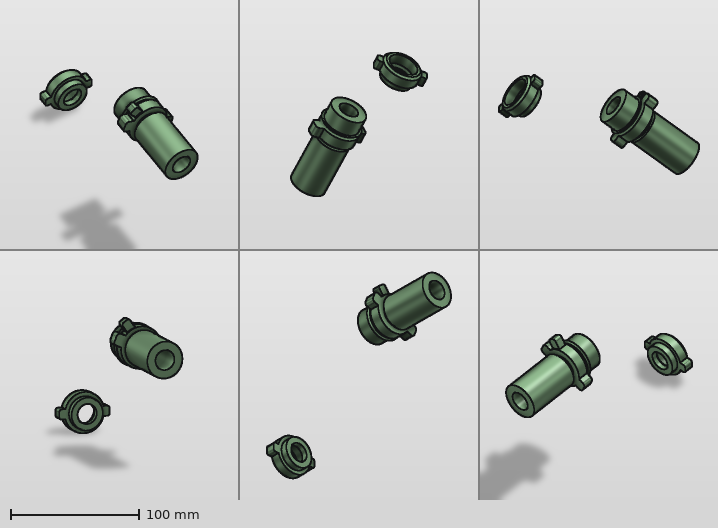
import cadquery as cq

axis_rise = 75.2
bore_diameter = 16.0
corner_radius = 2.0

cap_length = 15.7
flange_end = 10.0
flange_diameter = 33.0
flange_chamfer = 2.0
hub_diameter = 26.1
socket_diameter = 24.0
socket_depth = 8.6
socket_taper = 2.1
cap_tab_reach = 21.1
cap_tab_width = 8.0

connector_start = 102.5
connector_end = 179.0
spigot_diameter = 30.0
lip_start = 116.0
lip_width = 1.6
lip_diameter = 34.5
neck_diameter = 22.0
ring_start = 119.9
ring_width = 9.1
ring_diameter = 33.8
tube_start = 132.8
tube_diameter = 29.5
ring_tab_reach = 23.0
ring_tab_width = 10.0
ring_tab_corner_radius = 2.9
ring_tab_angle = 22
lug_width = 7.5
lug_thickness = 7.0
lug_reach = 25.2
lug_offset = 2.0
lug_angle = 55
lug_hole_diameter = 4.1
lug_hole_distance = 21.3
lug_hole_depth = lug_thickness / 2


def disc(diameter, start, end):
    """Cylinder about the X axis between two X positions."""
    return cq.Workplane("YZ", origin=(start, 0, 0)).circle(diameter / 2).extrude(end - start)


def cone(diameter, start, length):
    """45 degree frustum about the X axis, narrowing towards +X."""
    large = diameter / 2
    small = large - length
    return (
        cq.Workplane("XY", origin=(start, 0, 0))
        .polyline([(0, 0), (0, large), (length, small), (length, 0)])
        .close()
        .revolve(360, (0, 0, 0), (1, 0, 0))
    )


def tab(inner, reach, width, start, thickness, offset=0.0, rounding=corner_radius):
    """Radial plate towards -Y with rounded outer corners."""
    return (
        cq.Workplane("YZ", origin=(start, 0, 0))
        .center(-(inner + reach) / 2, offset)
        .rect(reach - inner, width)
        .extrude(thickness)
        .edges("|X and <Y")
        .fillet(rounding)
    )


def turn(shape, angle):
    """Raise a shape from -Y towards +Z about the X axis."""
    return shape.rotate((0, 0, 0), (1, 0, 0), -angle)


def make_cap():
    flange = disc(flange_diameter, 0, flange_end).faces("<X").chamfer(flange_chamfer)
    cap = flange.union(disc(hub_diameter, flange_end, cap_length))
    for angle in (0, 180):
        ear = tab(socket_diameter / 2, cap_tab_reach, cap_tab_width, flange_chamfer,
                  flange_end - flange_chamfer)
        cap = cap.union(turn(ear, angle))
    cap = cap.cut(disc(socket_diameter, 0, socket_depth))
    cap = cap.cut(cone(socket_diameter, socket_depth, socket_taper))
    return cap.cut(disc(bore_diameter, 0, cap_length))


def make_lug():
    start = ring_start + (ring_width - lug_thickness) / 2
    lug = tab(neck_diameter / 2, lug_reach, lug_width, start, lug_thickness, lug_offset)
    hole = disc(lug_hole_diameter, start, start + lug_hole_depth)
    return turn(lug.cut(hole.translate((0, -lug_hole_distance, lug_offset))), lug_angle)


def make_connector():
    body = disc(spigot_diameter, connector_start, lip_start + lip_width)
    body = body.union(cone(lip_diameter, lip_start, lip_width))
    body = body.union(disc(neck_diameter, lip_start, tube_start))
    body = body.union(disc(tube_diameter, tube_start, connector_end))
    body = body.union(disc(ring_diameter, ring_start, ring_start + ring_width))
    for angle in (ring_tab_angle, ring_tab_angle + 180):
        ear = tab(neck_diameter / 2, ring_tab_reach, ring_tab_width, ring_start, ring_width,
                  rounding=ring_tab_corner_radius)
        body = body.union(turn(ear, angle))
    body = body.union(make_lug())
    body = body.cut(disc(bore_diameter, connector_start, connector_end))
    return body.translate((0, 0, axis_rise))


cap = make_cap()
connector = make_connector()
result = cq.Compound.makeCompound([cap.val(), connector.val()])